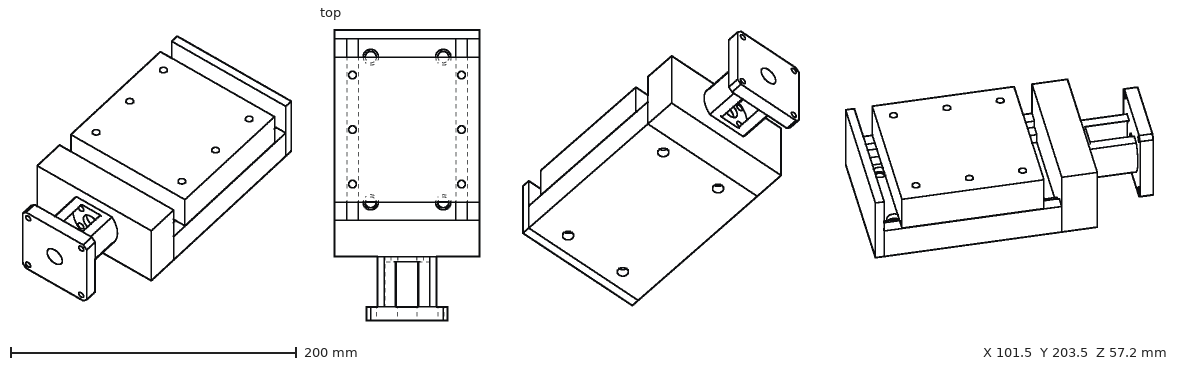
import cadquery as cq

STAGE_WIDTH = 101.5
STAGE_HEIGHT = 50.9
BASE_LENGTH = 127.0
LEDGE_HEIGHT = 23.8
BASE_FRONT = -BASE_LENGTH / 2
BASE_BACK = BASE_LENGTH / 2
TOTAL_LENGTH = 203.5

LEDGE_WIDTH = 8.5
FLOOR_HEIGHT = 11.0
BASE_HOLE_PITCH_X = STAGE_WIDTH / 2
BASE_HOLE_PITCH_Y = STAGE_WIDTH
BASE_HOLE_DIAMETER = 7.7
BASE_COUNTERBORE_DIAMETER = 10.8
BASE_COUNTERBORE_DEPTH = 4.0

RAIL_WIDTH = 8.1
RAIL_DROP = 5.7
RAIL_HEIGHT = LEDGE_HEIGHT - RAIL_DROP - FLOOR_HEIGHT

CARRIAGE_LENGTH = STAGE_WIDTH
CARRIAGE_CLEARANCE = 0.5
CARRIAGE_HOLE_PITCH_X = 76.3
CARRIAGE_HOLE_PITCH_Y = CARRIAGE_HOLE_PITCH_X / 2
CARRIAGE_HOLE_DIAMETER = 5.3
CARRIAGE_HOLE_DEPTH = 12.2
CARRIAGE_HOLE_POINT_LENGTH = 1.6

END_PLATE_THICKNESS = 6.3
FRONT_BLOCK_LENGTH = 25.5
BLOCK_FRONT = BASE_FRONT - FRONT_BLOCK_LENGTH

MOUNT_LENGTH = TOTAL_LENGTH - BASE_LENGTH - END_PLATE_THICKNESS - FRONT_BLOCK_LENGTH
FLANGE_SIZE = 57.0
FLANGE_BOTTOM = 0.2
FLANGE_THICKNESS = 9.5
FLANGE_CHAMFER = 3.0
FLANGE_HOLE_PITCH = 47.2
FLANGE_HOLE_DIAMETER = 4.3
AXIS_HEIGHT = FLANGE_BOTTOM + FLANGE_SIZE / 2
TUBE_DIAMETER = 41.5
TUBE_TOP_FLAT = 13.5
TUBE_BOTTOM_FLAT = 13.8
CAVITY_DIAMETER = 31.5
MOUNT_WALL_THICKNESS = 3.7
SHAFT_HOLE_DIAMETER = 13.5
WALL_HOLE_PITCH = 18.0
WALL_HOLE_DIAMETER = 4.9


def upright_block(width, length, height, y_front, z_bottom):
    """Block centred on X that starts at the given front face and underside."""
    return (
        cq.Workplane("XY")
        .box(width, length, height, centered=(True, False, False))
        .translate((0, y_front, z_bottom))
    )


def across_axis(y_front):
    """Plane across the drive axis whose extrusions run towards the back (+Y)."""
    return cq.Workplane(
        cq.Plane(origin=(0, y_front, AXIS_HEIGHT), xDir=(-1, 0, 0), normal=(0, 1, 0))
    )


def make_base():
    base = upright_block(STAGE_WIDTH, BASE_LENGTH, LEDGE_HEIGHT, BASE_FRONT, 0)
    channel = upright_block(
        STAGE_WIDTH - 2 * LEDGE_WIDTH, BASE_LENGTH, LEDGE_HEIGHT, BASE_FRONT, FLOOR_HEIGHT
    )
    return (
        base.cut(channel)
        .copyWorkplane(cq.Workplane("XY", origin=(0, 0, FLOOR_HEIGHT)))
        .rarray(BASE_HOLE_PITCH_X, BASE_HOLE_PITCH_Y, 2, 2)
        .cboreHole(BASE_HOLE_DIAMETER, BASE_COUNTERBORE_DIAMETER, BASE_COUNTERBORE_DEPTH)
    )


def make_rail(side):
    """Guide rail against the ledge on one side: -1 for -X, +1 for +X."""
    rail = upright_block(RAIL_WIDTH, BASE_LENGTH, RAIL_HEIGHT, BASE_FRONT, FLOOR_HEIGHT)
    return rail.translate((side * (STAGE_WIDTH / 2 - LEDGE_WIDTH - RAIL_WIDTH / 2), 0, 0))


def make_carriage():
    underside = LEDGE_HEIGHT + CARRIAGE_CLEARANCE
    carriage = upright_block(
        STAGE_WIDTH, CARRIAGE_LENGTH, STAGE_HEIGHT - underside, -CARRIAGE_LENGTH / 2, underside
    )
    drilled_hole = (
        cq.Workplane("XZ")
        .polyline([
            (0, 0),
            (CARRIAGE_HOLE_DIAMETER / 2, 0),
            (CARRIAGE_HOLE_DIAMETER / 2, -CARRIAGE_HOLE_DEPTH),
            (0, -CARRIAGE_HOLE_DEPTH - CARRIAGE_HOLE_POINT_LENGTH),
        ])
        .close()
        .revolve(360, (0, 0, 0), (0, 1, 0))
        .val()
    )
    holes = (
        cq.Workplane("XY", origin=(0, 0, STAGE_HEIGHT))
        .rarray(CARRIAGE_HOLE_PITCH_X, CARRIAGE_HOLE_PITCH_Y, 2, 3)
        .eachpoint(lambda place: drilled_hole.moved(place))
    )
    return carriage.cut(holes)


def make_end_plate():
    return upright_block(STAGE_WIDTH, END_PLATE_THICKNESS, STAGE_HEIGHT, BASE_BACK, 0)


def make_front_block():
    return upright_block(STAGE_WIDTH, FRONT_BLOCK_LENGTH, STAGE_HEIGHT, BLOCK_FRONT, 0)


def make_motor_mount():
    flange_front = BLOCK_FRONT - MOUNT_LENGTH
    flange_back = flange_front + FLANGE_THICKNESS
    tube_length = MOUNT_LENGTH - FLANGE_THICKNESS

    flange = (
        across_axis(flange_front)
        .rect(FLANGE_SIZE, FLANGE_SIZE)
        .extrude(FLANGE_THICKNESS)
        .edges("|Y")
        .chamfer(FLANGE_CHAMFER)
    )
    flange_holes = (
        across_axis(flange_front)
        .rarray(FLANGE_HOLE_PITCH, FLANGE_HOLE_PITCH, 2, 2)
        .circle(FLANGE_HOLE_DIAMETER / 2)
        .extrude(FLANGE_THICKNESS)
    )

    flats = upright_block(
        TUBE_DIAMETER,
        tube_length,
        TUBE_TOP_FLAT + TUBE_BOTTOM_FLAT,
        flange_back,
        AXIS_HEIGHT - TUBE_BOTTOM_FLAT,
    )
    tube = across_axis(flange_back).circle(TUBE_DIAMETER / 2).extrude(tube_length).intersect(flats)
    cavity = (
        across_axis(flange_back)
        .circle(CAVITY_DIAMETER / 2)
        .extrude(tube_length - MOUNT_WALL_THICKNESS)
    )
    wall_holes = (
        across_axis(BLOCK_FRONT - MOUNT_WALL_THICKNESS)
        .rarray(WALL_HOLE_PITCH, WALL_HOLE_PITCH, 2, 2)
        .circle(WALL_HOLE_DIAMETER / 2)
        .extrude(MOUNT_WALL_THICKNESS)
    )
    shaft_hole = across_axis(flange_front).circle(SHAFT_HOLE_DIAMETER / 2).extrude(MOUNT_LENGTH)

    return flange.cut(flange_holes).union(tube.cut(cavity).cut(wall_holes)).cut(shaft_hole)


base = make_base()
rails = [make_rail(side) for side in (-1, 1)]
carriage = make_carriage()
end_plate = make_end_plate()
front_block = make_front_block()
motor_mount = make_motor_mount()

result = cq.Compound.makeCompound([
    base.val(),
    *[rail.val() for rail in rails],
    carriage.val(),
    end_plate.val(),
    front_block.val(),
    motor_mount.val(),
])